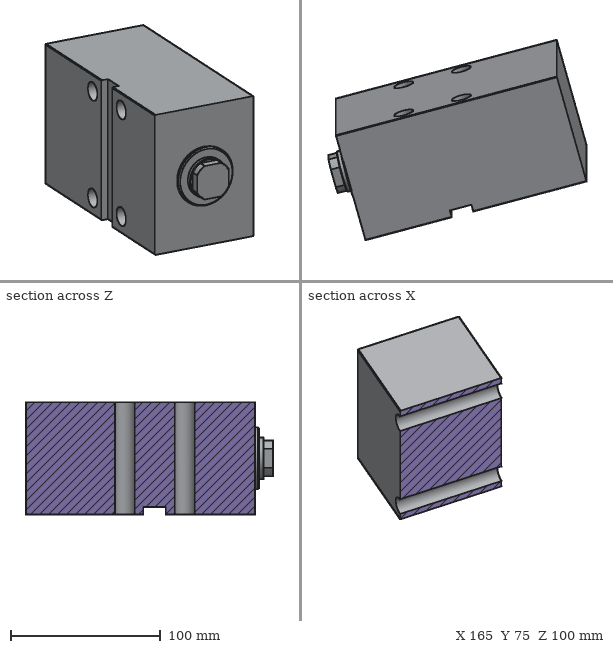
import cadquery as cq

total_length = 165.0
block_length = 153.0
block_depth = 75.0
block_height = 100.0
edge_chamfer = 0.5

groove_start = 78.4
groove_width = 14.8
groove_depth = 5.0

hole_diameter = 13.0
hole_first_x = 66.0
hole_pitch_x = 40.0
hole_pitch_z = 76.0

gland_diameter = 41.5
gland_thickness = 2.6
gland_chamfer = 1.0

rod_diameter = 28.0
rod_chamfer = 0.5
round_length = 6.0
tip_diameter = rod_diameter - 2 * rod_chamfer
tip_across_flats = 24.0
rod_length = total_length - block_length


def end_face_plane(offset=0.0):
    """Plane parallel to the block's right end face, facing +X."""
    return cq.Workplane("YZ", origin=(block_length + offset, 0, 0))


def make_block():
    block = cq.Workplane("XY").box(
        block_length, block_depth, block_height, centered=(False, True, True)
    )
    block = block.edges("|X").chamfer(edge_chamfer)

    groove = cq.Workplane("XY").box(
        groove_width, groove_depth, block_height, centered=(False, False, True)
    )
    block = block.cut(groove.translate((groove_start, -block_depth / 2, 0)))

    hole_centre_x = hole_first_x + hole_pitch_x / 2
    holes = (
        cq.Workplane("XZ", origin=(hole_centre_x, block_depth / 2, 0))
        .rarray(hole_pitch_x, hole_pitch_z, 2, 2)
        .circle(hole_diameter / 2)
        .extrude(block_depth)
    )
    return block.cut(holes)


def make_gland():
    """Ring with a chamfered outer rim and a bore that fits the rod."""
    disc = end_face_plane().circle(gland_diameter / 2).extrude(gland_thickness)
    disc = disc.faces(">X").chamfer(gland_chamfer)
    bore = end_face_plane().circle(rod_diameter / 2).extrude(gland_thickness)
    return disc.cut(bore)


def make_rod():
    """Round rod standing on the block's end face, with a four-flat tip."""
    shank = end_face_plane().circle(rod_diameter / 2).extrude(round_length)
    shank = shank.faces(">X").chamfer(rod_chamfer)

    tip_length = rod_length - round_length
    tip = end_face_plane(round_length).circle(tip_diameter / 2).extrude(tip_length)
    flats = end_face_plane(round_length).rect(tip_across_flats, tip_across_flats).extrude(tip_length)
    return shank.union(tip.intersect(flats))


block = make_block()
gland = make_gland()
rod = make_rod()

result = cq.Compound.makeCompound([block.val(), gland.val(), rod.val()])